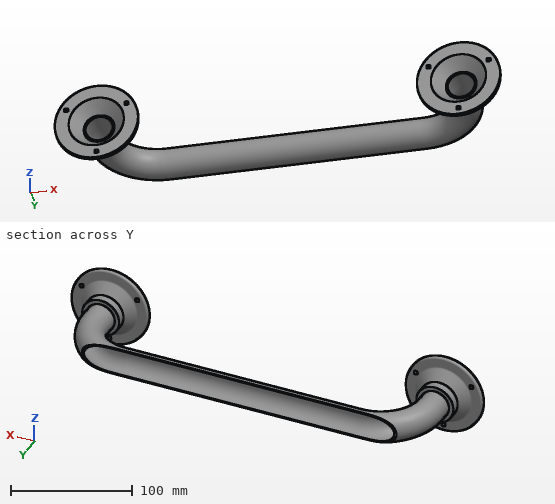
import cadquery as cq
import math

overall_length = 374.7
overall_depth = 87.7
flange_diameter = 70.0
flange_radius = flange_diameter / 2
leg_x = overall_length / 2 - flange_radius

tube_diameter = 26.0
tube_radius = tube_diameter / 2
tube_wall = 1.5
bend_radius = 44.5
rail_y = overall_depth - tube_radius
bend_start_y = rail_y - bend_radius

flange_thickness = 4.0
rim_fillet = 1.5
cone_foot_fillet = 2.0
cone_top_y = 12.5
collar_top_y = 20.5
tube_end_y = 11.0

collar_radius = 17.0
cone_base_radius = 25.5
mouth_radius = 23.2

screw_hole_diameter = 3.5
screw_circle_radius = 29.2
screw_hole_count = 3
first_screw_angle = -90.0


def sweep_rod(radius):
    """Solid rod along the whole U-shaped centreline of the tube."""
    diagonal = bend_radius * math.sqrt(0.5)
    bend_center_x = leg_x - bend_radius
    path = (
        cq.Workplane("XY")
        .moveTo(-leg_x, tube_end_y)
        .lineTo(-leg_x, bend_start_y)
        .threePointArc((-bend_center_x - diagonal, bend_start_y + diagonal), (-bend_center_x, rail_y))
        .lineTo(bend_center_x, rail_y)
        .threePointArc((bend_center_x + diagonal, bend_start_y + diagonal), (leg_x, bend_start_y))
        .lineTo(leg_x, tube_end_y)
    )
    start_plane = cq.Plane(origin=(-leg_x, tube_end_y, 0), xDir=(1, 0, 0), normal=(0, 1, 0))
    return cq.Workplane(start_plane).circle(radius).sweep(path)


def make_tube():
    """Hollow bent tube, open at both ends."""
    return sweep_rod(tube_radius).cut(sweep_rod(tube_radius - tube_wall))


def make_flange(center_x):
    """Mounting flange with a conical neck, a collar for the tube and three screw holes."""
    body = (
        cq.Workplane("XY")
        .moveTo(mouth_radius, 0)
        .lineTo(flange_radius, 0)
        .lineTo(flange_radius, flange_thickness - rim_fillet)
        .radiusArc((flange_radius - rim_fillet, flange_thickness), -rim_fillet)
        .lineTo(cone_base_radius, flange_thickness)
        .lineTo(collar_radius, cone_top_y)
        .lineTo(collar_radius, collar_top_y)
        .lineTo(tube_radius, collar_top_y)
        .lineTo(tube_radius, tube_end_y)
        .close()
        .revolve(360, (0, 0), (0, 1))
        .edges("%CIRCLE")
        .filter(lambda edge: math.isclose(edge.radius(), cone_base_radius))
        .fillet(cone_foot_fillet)
    )
    holes = (
        cq.Workplane("XZ")
        .polarArray(screw_circle_radius, first_screw_angle, 360, screw_hole_count)
        .circle(screw_hole_diameter / 2)
        .extrude(-flange_thickness)
    )
    return body.cut(holes).translate((center_x, 0, 0))


tube = make_tube()
flanges = [make_flange(side * leg_x) for side in (-1, 1)]

result = cq.Compound.makeCompound([tube.val(), *[flange.val() for flange in flanges]])